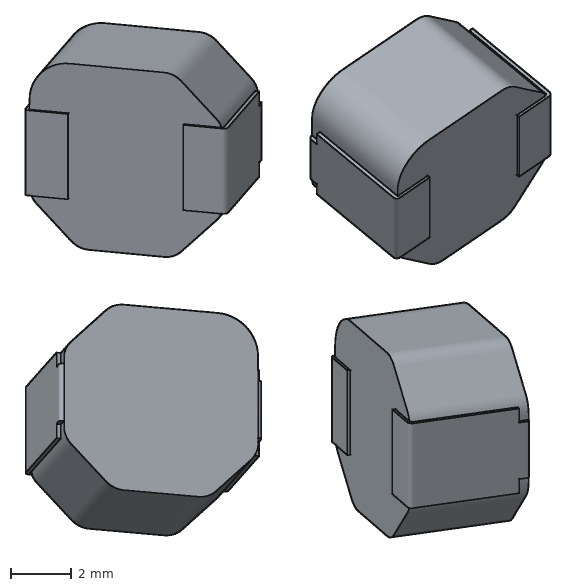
import cadquery as cq

overall_width = 7.0
housing_height = 6.5
housing_depth = 4.25
round_corner_radius = 1.4
corner_chamfer = 1.7
chamfer_blend_radius = 0.86

terminal_thickness = 0.15
terminal_height = 3.0
foot_length = 1.5
foot_standoff = 0.1
tab_height = 2.0
tab_length = 0.4

outer_x = overall_width / 2
housing_side_x = outer_x - terminal_thickness
housing_top_z = housing_height / 2
foot_front_y = -foot_standoff
side_directions = (-1, 1)


def make_terminal(side):
    """L-shaped sheet terminal; side is -1 for the -X end and +1 for the +X end."""
    foot_end_x = side * (outer_x - foot_length)
    inner_x = side * housing_side_x
    foot_back_y = foot_front_y + terminal_thickness

    terminal = (
        cq.Workplane("XY")
        .moveTo(foot_end_x, foot_front_y)
        .lineTo(inner_x, foot_front_y)
        .radiusArc((side * outer_x, foot_back_y), -side * terminal_thickness)
        .lineTo(side * outer_x, housing_depth - terminal_thickness)
        .radiusArc((inner_x, housing_depth), -side * terminal_thickness)
        .lineTo(inner_x, foot_back_y)
        .lineTo(foot_end_x, foot_back_y)
        .close()
        .extrude(terminal_height / 2, both=True)
    )

    notch_height = (terminal_height - tab_height) / 2
    notch_center_z = (terminal_height + tab_height) / 4
    notch = (
        cq.Workplane("XY")
        .box(overall_width, tab_length, notch_height)
        .translate((0, housing_depth - tab_length / 2, 0))
    )
    for vertical in (-1, 1):
        terminal = terminal.cut(notch.translate((0, 0, vertical * notch_center_z)))
    return cq.Workplane(terminal.solids().val())


def make_housing(terminals):
    """Block with one round and three chamfered corners, recessed for the terminal feet."""
    chamfer_x = housing_side_x - corner_chamfer
    chamfer_z = housing_top_z - corner_chamfer
    housing = (
        cq.Workplane("XZ")
        .moveTo(-housing_side_x, housing_top_z)
        .lineTo(chamfer_x, housing_top_z)
        .lineTo(housing_side_x, chamfer_z)
        .lineTo(housing_side_x, -chamfer_z)
        .lineTo(chamfer_x, -housing_top_z)
        .lineTo(-chamfer_x, -housing_top_z)
        .lineTo(-housing_side_x, -chamfer_z)
        .close()
        .extrude(-housing_depth)
    )
    round_corner = cq.selectors.NearestToPointSelector(
        (-housing_side_x, housing_depth / 2, housing_top_z)
    )
    housing = housing.edges(round_corner).fillet(round_corner_radius)

    for end_x, end_z in ((1, 1), (1, -1), (-1, -1)):
        for x, z in ((chamfer_x, housing_top_z), (housing_side_x, chamfer_z)):
            chamfer_end = cq.selectors.NearestToPointSelector((end_x * x, housing_depth / 2, end_z * z))
            housing = housing.edges(chamfer_end).fillet(chamfer_blend_radius)

    for terminal in terminals:
        housing = housing.cut(terminal)
    return cq.Workplane(housing.solids().val())


terminals = [make_terminal(side) for side in side_directions]
housing = make_housing(terminals)

result = cq.Compound.makeCompound([housing.val(), *(terminal.val() for terminal in terminals)])